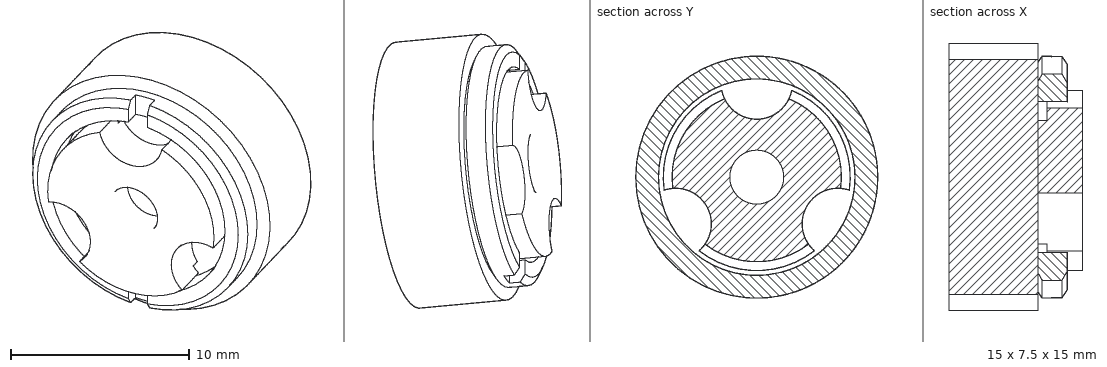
import cadquery as cq
import math

TOTAL_DEPTH = 7.5
BACK_Y = TOTAL_DEPTH / 2
FRONT_Y = -TOTAL_DEPTH / 2

HOUSING_RADIUS = 7.5
HOUSING_DEPTH = TOTAL_DEPTH * 2 / 3
SEAT_Y = BACK_Y - HOUSING_DEPTH

RING_OUTER_RADIUS = 6.8
RING_BORE_RADIUS = 5.5
RING_DEPTH = 1.65
RING_FRONT_Y = SEAT_Y - RING_DEPTH
FRONT_CHAMFER_DEPTH = 0.3
FRONT_CHAMFER_WIDTH = 0.45
BACK_CHAMFER_DEPTH = 0.22
BACK_CHAMFER_WIDTH = 0.35
SLOT_WIDTH = 1.2
SLOT_DEPTH = 0.9

INSERT_RADIUS = 5.25
INSERT_DEPTH = TOTAL_DEPTH - HOUSING_DEPTH
FOOT_RADIUS = 4.75
FOOT_DEPTH = 0.5
HOLE_RADIUS = 1.5
HOLE_MOUTH_FILLET = 0.5
NOTCH_RADIUS = 2.0
NOTCH_COUNT = 3
FIRST_NOTCH_ANGLE = 90.0


def cylinder(radius, front_y, depth, x=0.0, z=0.0):
    """Cylinder along Y that runs from front_y toward +Y."""
    return cq.Workplane(cq.Solid.makeCylinder(radius, depth, cq.Vector(x, front_y, z), cq.Vector(0, 1, 0)))


def make_housing():
    return cylinder(HOUSING_RADIUS, SEAT_Y, HOUSING_DEPTH)


def make_ring():
    profile = [
        (RING_BORE_RADIUS, RING_FRONT_Y),
        (RING_OUTER_RADIUS - FRONT_CHAMFER_WIDTH, RING_FRONT_Y),
        (RING_OUTER_RADIUS, RING_FRONT_Y + FRONT_CHAMFER_DEPTH),
        (RING_OUTER_RADIUS, SEAT_Y - BACK_CHAMFER_DEPTH),
        (RING_OUTER_RADIUS - BACK_CHAMFER_WIDTH, SEAT_Y),
        (RING_BORE_RADIUS, SEAT_Y),
    ]
    ring = cq.Workplane("XY").polyline(profile).close().revolve(360, (0, 0, 0), (0, 1, 0))

    slot_bar = cq.Workplane("XY").box(SLOT_WIDTH, SLOT_DEPTH, 2 * RING_OUTER_RADIUS)
    return ring.cut(slot_bar.translate((0, RING_FRONT_Y + SLOT_DEPTH / 2, 0)))


def make_insert():
    insert = cylinder(INSERT_RADIUS, FRONT_Y, INSERT_DEPTH - FOOT_DEPTH)
    insert = insert.union(cylinder(FOOT_RADIUS, FRONT_Y, INSERT_DEPTH))

    insert = insert.cut(cylinder(HOLE_RADIUS, FRONT_Y, INSERT_DEPTH))
    hole_mouth = cq.selectors.RadiusNthSelector(0)
    insert = insert.faces("<Y").edges(hole_mouth).fillet(HOLE_MOUTH_FILLET)

    for index in range(NOTCH_COUNT):
        angle = math.radians(FIRST_NOTCH_ANGLE + index * 360 / NOTCH_COUNT)
        x = INSERT_RADIUS * math.cos(angle)
        z = INSERT_RADIUS * math.sin(angle)
        insert = insert.cut(cylinder(NOTCH_RADIUS, FRONT_Y, INSERT_DEPTH, x, z))
    return insert


housing = make_housing()
ring = make_ring()
insert = make_insert()

result = cq.Compound.makeCompound([housing.val(), ring.val(), insert.val()])